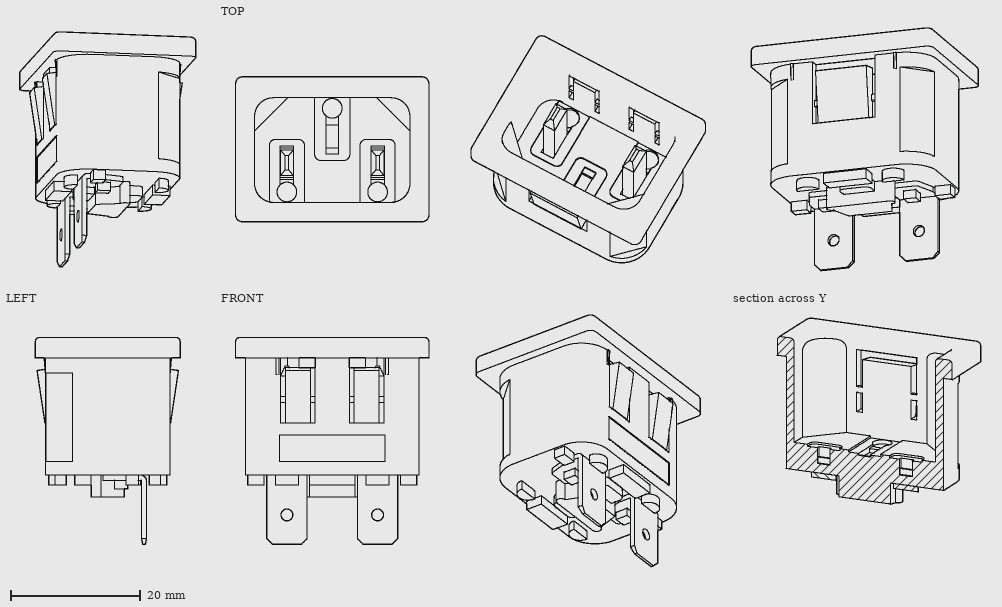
import cadquery as cq


SIDES = (-1, 1)

FLANGE_X, FLANGE_Y, FLANGE_HEIGHT = 30.0, 22.5, 3.18
FLANGE_CORNER_RADIUS = 1.1
FLANGE_EDGE_FILLET = 0.7
BODY_X, BODY_Y, BODY_HEIGHT = 26.95, 19.32, 18.2
BODY_CORNER_RADIUS = 4.95
TOP_Z = BODY_HEIGHT + FLANGE_HEIGHT

CAVITY_X = 24.08
CAVITY_FRONT_Y, CAVITY_BACK_Y = -8.22, 8.0
CAVITY_CORNER_RADIUS = 2.9
RIM_FILLET = 0.77
FLOOR_Z = 4.5

KEY_INNER_SUM = 14.9
KEY_OUTER_SUM = 18.87
KEY_TOP_Z = TOP_Z - 1.95
KEY_TOP_FILLET = 1.2
CORNER_CUT_BOTTOM_Z, CORNER_CUT_TOP_Z = 2.1, 15.83

WINDOW_BOTTOM_Z = 8.12
LATCH_TIP_Y = 10.98
LATCH_TIP_Z = 16.25
LATCH_SLOPE = 0.15
BRIDGE_BOTTOM_Z, BRIDGE_TOP_Z = 11.25, 12.2
BRIDGE_THICKNESS = 0.65
LATCHES = [
    (-5.33, -1, 5.33, 3.85),
    (5.33, -1, 5.33, 3.85),
    (0.0, 1, 10.27, 8.35),
]

LABEL_X, LABEL_Z, LABEL_DEPTH = 16.3, 4.1, 0.15
LABEL_BOTTOM_Z = 2.15
WEDGE_X, WEDGE_WIDTH, WEDGE_HEIGHT, WEDGE_REACH = 8.47, 0.45, 2.57, 0.22

PIN_X, PIN_Y = 7.03, -2.1
PIN_THICKNESS, PIN_WIDTH = 2.0, 3.98
PIN_TIP_THICKNESS, PIN_TIP_WIDTH = 0.5, 2.18
PIN_TIP_Z = TOP_Z - 4.43
PIN_TAPER = 1.55
RIVET_WIDTH = 2.05
RIVET_BOTTOM_Z = -2.12
TAB_THICKNESS = 0.8
TAB_WIDTH = 6.3
TAB_LENGTH = 10.72
TAB_OUTER_Y = -6.05
TAB_BEND_RADIUS = 0.93
TAB_HEAD_END_Y = 0.77
TAB_HEAD_END_WIDTH = 3.72
TAB_HEAD_TAPER_Y = -3.02
TAB_HEAD_CORNER_RADIUS = 0.65
TAB_HOLE_DIAMETER, TAB_HOLE_Z = 1.8, -6.15
TAB_TIP_CHAMFER = 0.9
TAB_TIP_THICKNESS = 0.45

PAD_WIDTH, PAD_CORNER_RADIUS, PAD_DEPTH = 5.45, 0.95, 0.32
PIN_PAD_END_Y = 1.55
EARTH_PAD_END_Y = -1.73
CHANNEL_DEPTH = 0.65
PIN_SLOT_WIDTH = 2.12
EARTH_SLOT_WIDTH = 2.0
PIN_SLOT_STEPS = ((5.15, 1.93), (4.55, 2.9))
PIN_MARK_Y, EARTH_MARK_Y = -6.6, 6.35
MARK_DIAMETER, MARK_DEPTH = 3.05, 0.95
EARTH_SLOT_EDGES_Y = (-0.7, 0.22, 3.8, EARTH_MARK_Y)
EARTH_SLOT_DEPTHS = (0.65, 1.3, 0.65)

FOOT_HEIGHT = 1.55
ROUND_FOOT_RADIUS = 1.75
FOOT_INNER_Y = 6.42
BAR_FOOT_X, BAR_FOOT_OUTER_Y = 7.05, 9.18
SIDE_FOOT_X, SIDE_FOOT_WIDTH = 11.85, 2.57
SIDE_FOOT_Y, SIDE_FOOT_LENGTH = -3.8, 1.93
MIDDLE_FOOT_X, MIDDLE_FOOT_Y, MIDDLE_FOOT_RADIUS = 5.15, 10.27, 1.03
EARTH_BLOCK_HEIGHT = 3.4
EARTH_BLOCK_FRONT_Y, EARTH_BLOCK_BACK_Y = -2.57, 2.57
EARTH_BLOCK_FRONT_X, EARTH_BLOCK_BACK_X = 7.05, 9.63
EARTH_BLOCK_LOBE_RADIUS = 0.77


def box(x_min, x_max, y_min, y_max, z_min, z_max):
    size = (x_max - x_min, y_max - y_min, z_max - z_min)
    return cq.Workplane("XY").box(*size, centered=False).translate((x_min, y_min, z_min))


def rounded_block(x_size, y_size, radius, z_min, z_max):
    block = cq.Workplane("XY").workplane(offset=z_min).rect(x_size, y_size).extrude(z_max - z_min)
    return block.edges("|Z").fillet(radius)


def shell():
    """Flange and body with the open cavity."""
    flange = rounded_block(FLANGE_X, FLANGE_Y, FLANGE_CORNER_RADIUS, BODY_HEIGHT, TOP_Z)
    flange = flange.faces(">Z").edges().fillet(FLANGE_EDGE_FILLET)
    body = rounded_block(BODY_X, BODY_Y, BODY_CORNER_RADIUS, 0, BODY_HEIGHT)
    cavity_y = CAVITY_BACK_Y - CAVITY_FRONT_Y
    cavity = rounded_block(CAVITY_X, cavity_y, CAVITY_CORNER_RADIUS, FLOOR_Z, TOP_Z)
    cavity = cavity.translate((0, (CAVITY_FRONT_Y + CAVITY_BACK_Y) / 2, 0))
    hollow = flange.union(body).cut(cavity)
    top_wires = hollow.faces(">Z").wires().vals()
    rim_wire = min(top_wires, key=lambda wire: wire.Length())
    return hollow.newObject(rim_wire.Edges()).fillet(RIM_FILLET)


def corner_wedge(side, face_sum, z_min, z_max):
    """Everything beyond the 45 degree face |x| + y = face_sum in one +Y corner."""
    reach = BODY_X
    points = [
        (side * (face_sum - BODY_Y), BODY_Y),
        (side * reach, BODY_Y),
        (side * reach, face_sum - reach),
    ]
    return cq.Workplane("XY").workplane(offset=z_min).polyline(points).close().extrude(z_max - z_min)


def key_corner(side):
    """Filled cavity corner with a rounded top edge."""
    wedge = corner_wedge(side, KEY_INNER_SUM, FLOOR_Z, KEY_TOP_Z)
    face_point = (side * KEY_INNER_SUM / 2, KEY_INNER_SUM / 2, KEY_TOP_Z)
    wedge = wedge.edges(cq.selectors.NearestToPointSelector(face_point)).fillet(KEY_TOP_FILLET)
    return wedge.intersect(rounded_block(BODY_X, BODY_Y, BODY_CORNER_RADIUS, 0, TOP_Z))


def cavity_wall_y(side):
    return CAVITY_BACK_Y if side > 0 else CAVITY_FRONT_Y


def latch(side, width):
    """Spring latch with a sloping outer face, its top square to that face."""
    inner_y = cavity_wall_y(side)
    depth = LATCH_TIP_Y - abs(inner_y)
    outer_bottom_y = LATCH_TIP_Y - LATCH_SLOPE * (LATCH_TIP_Z - WINDOW_BOTTOM_Z)
    points = [
        (inner_y, WINDOW_BOTTOM_Z),
        (side * outer_bottom_y, WINDOW_BOTTOM_Z),
        (side * LATCH_TIP_Y, LATCH_TIP_Z),
        (inner_y, LATCH_TIP_Z + LATCH_SLOPE * depth),
    ]
    return cq.Workplane("YZ").polyline(points).close().extrude(width / 2, both=True)


def add_latch(housing, x, side, window_width, latch_width):
    """Cut the window through one wall, then add its latch and the bridge that holds it."""
    inner_y = cavity_wall_y(side)
    wall_y = sorted((inner_y, side * BODY_Y / 2))
    bridge_y = sorted((inner_y, inner_y + side * BRIDGE_THICKNESS))
    left, right = x - window_width / 2, x + window_width / 2
    housing = housing.cut(box(left, right, *wall_y, WINDOW_BOTTOM_Z, BODY_HEIGHT))
    housing = housing.union(box(left, right, *bridge_y, BRIDGE_BOTTOM_Z, BRIDGE_TOP_Z))
    return housing.union(latch(side, latch_width).translate((x, 0, 0)))


def wall_wedge():
    """Small wedge under the flange that thins out downwards, on the +Y wall."""
    wall = BODY_Y / 2
    points = [
        (wall - WEDGE_REACH, BODY_HEIGHT),
        (wall + WEDGE_REACH, BODY_HEIGHT),
        (wall, BODY_HEIGHT - WEDGE_HEIGHT),
        (wall - WEDGE_REACH, BODY_HEIGHT - WEDGE_HEIGHT),
    ]
    return cq.Workplane("YZ").polyline(points).close().extrude(WEDGE_WIDTH / 2, both=True)


def floor_pad(x, end_y, wall_side):
    """Shallow pad recess from a rounded end to the cavity wall."""
    wall_y = cavity_wall_y(wall_side)
    length = abs(wall_y - end_y)
    pad = cq.Workplane("XY").workplane(offset=FLOOR_Z - PAD_DEPTH).rect(PAD_WIDTH, length)
    pad = pad.extrude(PAD_DEPTH).translate((x, (wall_y + end_y) / 2, 0))
    return pad.edges("|Z").edges("<Y" if wall_side > 0 else ">Y").fillet(PAD_CORNER_RADIUS)


def floor_mark(x, y):
    mark = cq.Workplane("XY").workplane(offset=FLOOR_Z - MARK_DEPTH).circle(MARK_DIAMETER / 2)
    return mark.extrude(MARK_DEPTH).translate((x, y, 0))


def pin_recess(x):
    """Pad, slot around the pin, channel and round mark of one pin."""
    left, right = x - PIN_SLOT_WIDTH / 2, x + PIN_SLOT_WIDTH / 2
    recess = floor_pad(x, PIN_PAD_END_Y, -1)
    for length, depth in PIN_SLOT_STEPS:
        front, back = PIN_Y - length / 2, PIN_Y + length / 2
        recess = recess.union(box(left, right, front, back, FLOOR_Z - depth, FLOOR_Z))
    recess = recess.union(box(left, right, PIN_MARK_Y, PIN_Y, FLOOR_Z - CHANNEL_DEPTH, FLOOR_Z))
    return recess.union(floor_mark(x, PIN_MARK_Y))


def earth_recess():
    """Pad, stepped slot and round mark of the empty earth position."""
    recess = floor_pad(0, EARTH_PAD_END_Y, 1)
    half = EARTH_SLOT_WIDTH / 2
    for front, back, depth in zip(EARTH_SLOT_EDGES_Y, EARTH_SLOT_EDGES_Y[1:], EARTH_SLOT_DEPTHS):
        recess = recess.union(box(-half, half, front, back, FLOOR_Z - depth, FLOOR_Z))
    return recess.union(floor_mark(0, EARTH_MARK_Y))


def round_foot(x, side):
    """Half-round foot with its curve facing outwards."""
    foot = cq.Workplane("XY").moveTo(-ROUND_FOOT_RADIUS, 0)
    foot = foot.threePointArc((0, side * ROUND_FOOT_RADIUS), (ROUND_FOOT_RADIUS, 0)).close()
    return foot.extrude(-FOOT_HEIGHT).translate((x, side * FOOT_INNER_Y, 0))


def bar_foot(side):
    y_range = sorted((side * FOOT_INNER_Y, side * BAR_FOOT_OUTER_Y))
    return box(-BAR_FOOT_X / 2, BAR_FOOT_X / 2, *y_range, -FOOT_HEIGHT, 0)


def side_foot(x):
    foot = cq.Workplane("XY").rect(SIDE_FOOT_WIDTH, SIDE_FOOT_LENGTH).extrude(-FOOT_HEIGHT)
    return foot.translate((x, SIDE_FOOT_Y, 0))


def earth_block():
    """Deep block below the earth slot, widening to a round lobe on each side at the back."""
    front, back = EARTH_BLOCK_FRONT_X / 2, EARTH_BLOCK_BACK_X / 2
    lobe_y = EARTH_BLOCK_BACK_Y - EARTH_BLOCK_LOBE_RADIUS
    lobe_front_y = lobe_y - EARTH_BLOCK_LOBE_RADIUS
    lobe_tip = back + EARTH_BLOCK_LOBE_RADIUS
    outline = (
        cq.Workplane("XY")
        .moveTo(-front, EARTH_BLOCK_FRONT_Y)
        .lineTo(front, EARTH_BLOCK_FRONT_Y)
        .lineTo(back, lobe_front_y)
        .threePointArc((lobe_tip, lobe_y), (back, EARTH_BLOCK_BACK_Y))
        .lineTo(-back, EARTH_BLOCK_BACK_Y)
        .threePointArc((-lobe_tip, lobe_y), (-back, lobe_front_y))
        .close()
    )
    return outline.extrude(-EARTH_BLOCK_HEIGHT)


def make_pin(x):
    """Blade pin with a tapered tip and a rivet stem through the tab."""
    shank_top = PIN_TIP_Z - PIN_TAPER
    blade = cq.Workplane("XY").rect(PIN_THICKNESS, PIN_WIDTH).extrude(shank_top)
    tip = cq.Workplane("XY").workplane(offset=shank_top).rect(PIN_THICKNESS, PIN_WIDTH)
    tip = tip.workplane(offset=PIN_TAPER).rect(PIN_TIP_THICKNESS, PIN_TIP_WIDTH).loft()
    stem = cq.Workplane("XY").rect(PIN_THICKNESS, RIVET_WIDTH).extrude(RIVET_BOTTOM_Z)
    return blade.union(tip).union(stem).translate((x, PIN_Y, 0))


def tab_head():
    """Flat part of the tab under the housing, narrowing to a rounded end."""
    half, end_half = TAB_WIDTH / 2, TAB_HEAD_END_WIDTH / 2
    points = [
        (-half, TAB_OUTER_Y),
        (half, TAB_OUTER_Y),
        (half, TAB_HEAD_TAPER_Y),
        (end_half, TAB_HEAD_END_Y),
        (-end_half, TAB_HEAD_END_Y),
        (-half, TAB_HEAD_TAPER_Y),
    ]
    head = cq.Workplane("XY").polyline(points).close().extrude(-TAB_THICKNESS)
    return head.edges("|Z").edges(">Y").fillet(TAB_HEAD_CORNER_RADIUS)


def tab_blade():
    """Hanging part of the tab with a hole and a tip bevelled on all sides."""
    half = TAB_WIDTH / 2
    shoulder_z = TAB_TIP_CHAMFER - TAB_LENGTH
    blade = box(-half, half, TAB_OUTER_Y, TAB_OUTER_Y + TAB_THICKNESS, shoulder_z, 0)
    tip = cq.Workplane("XY").workplane(offset=shoulder_z).rect(TAB_WIDTH, TAB_THICKNESS)
    tip = tip.workplane(offset=-TAB_TIP_CHAMFER)
    tip = tip.rect(TAB_WIDTH - 2 * TAB_TIP_CHAMFER, TAB_TIP_THICKNESS).loft()
    blade = blade.union(tip.translate((0, TAB_OUTER_Y + TAB_THICKNESS / 2, 0)))
    hole = cq.Workplane("XZ").center(0, TAB_HOLE_Z).circle(TAB_HOLE_DIAMETER / 2)
    return blade.cut(hole.extrude(-TAB_OUTER_Y * 2, both=True))


def make_tab(x):
    """Solder tab bent down at a right angle, with a hole for the pin's stem."""
    tab = tab_head().union(tab_blade())
    bend = cq.selectors.NearestToPointSelector((0, TAB_OUTER_Y, 0))
    tab = tab.edges(bend).fillet(TAB_BEND_RADIUS)
    stem_hole = cq.Workplane("XY").center(0, PIN_Y).rect(PIN_THICKNESS, RIVET_WIDTH)
    return tab.cut(stem_hole.extrude(-TAB_THICKNESS)).translate((x, 0, 0))


def make_housing():
    housing = shell()
    for side in SIDES:
        housing = housing.union(key_corner(side))
        housing = housing.cut(corner_wedge(side, KEY_OUTER_SUM, CORNER_CUT_BOTTOM_Z, CORNER_CUT_TOP_Z))
    for latch_sizes in LATCHES:
        housing = add_latch(housing, *latch_sizes)

    label_y = -BODY_Y / 2
    label_top_z = LABEL_BOTTOM_Z + LABEL_Z
    housing = housing.cut(
        box(-LABEL_X / 2, LABEL_X / 2, label_y, label_y + LABEL_DEPTH, LABEL_BOTTOM_Z, label_top_z)
    )
    for side in SIDES:
        wedge = wall_wedge().translate((side * WEDGE_X, 0, 0))
        housing = housing.union(wedge).union(wedge.mirror("XZ"))

    housing = housing.cut(earth_recess())
    for side in SIDES:
        housing = housing.cut(pin_recess(side * PIN_X)).cut(make_pin(side * PIN_X))

    middle_foot = rounded_block(MIDDLE_FOOT_X, MIDDLE_FOOT_Y, MIDDLE_FOOT_RADIUS, -FOOT_HEIGHT, 0)
    housing = housing.union(middle_foot).union(earth_block())
    for side in SIDES:
        housing = housing.union(bar_foot(side)).union(side_foot(side * SIDE_FOOT_X))
        for end in SIDES:
            housing = housing.union(round_foot(end * PIN_X, side))
    return housing


housing = make_housing()
pins = [make_pin(side * PIN_X) for side in SIDES]
tabs = [make_tab(side * PIN_X) for side in SIDES]

result = cq.Compound.makeCompound(
    [housing.val(), *[pin.val() for pin in pins], *[tab.val() for tab in tabs]]
)